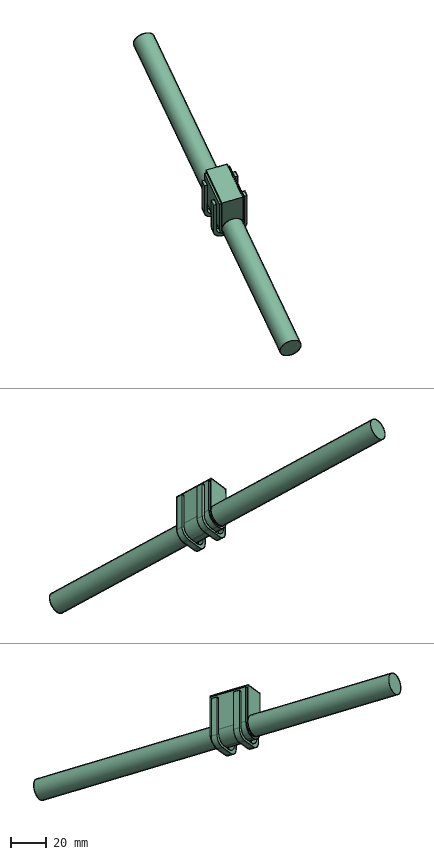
import cadquery as cq

rod_diameter = 12.8
rod_length = 240.0
rod_radius = rod_diameter / 2

block_center_x = 12.0
block_length = 25.8
block_top_z = 23.6
block_corner_radius = 6.2

band_thickness = 1.2
band_length = 24.2
band_top_z = block_top_z - 1.6

strap_outer_width = 20.4
strap_thickness = 1.8
strap_length = 3.8
strap_spacing = 15.1
strap_corner_radius = 5.8
strap_top_z = block_top_z - 4.3
overall_height = 34.2
strap_bottom_z = block_top_z - overall_height


def round_bottomed_slab(length, width, bottom_z, top_z, corner_radius, center_x):
    """Upright slab centred on Y = 0, with its two lower edges along X rounded."""
    slab = (
        cq.Workplane("XY", origin=(center_x, 0, bottom_z))
        .rect(length, width)
        .extrude(top_z - bottom_z)
    )
    return slab.edges("|X and <Z").fillet(corner_radius)


def make_rod_with_block():
    rod = cq.Workplane("YZ").circle(rod_radius).extrude(rod_length / 2, both=True)
    block = round_bottomed_slab(
        block_length, rod_diameter, -rod_radius, block_top_z, block_corner_radius, block_center_x
    )
    band = round_bottomed_slab(
        band_length,
        rod_diameter + 2 * band_thickness,
        -rod_radius - band_thickness,
        band_top_z,
        block_corner_radius + band_thickness,
        block_center_x,
    )
    return band.union(block).union(rod)


def make_strap(center_x):
    outside = round_bottomed_slab(
        strap_length, strap_outer_width, strap_bottom_z, strap_top_z, strap_corner_radius, center_x
    )
    inside = round_bottomed_slab(
        strap_length,
        strap_outer_width - 2 * strap_thickness,
        strap_bottom_z + strap_thickness,
        strap_top_z,
        strap_corner_radius,
        center_x,
    )
    return outside.cut(inside)


rod_with_block = make_rod_with_block()
straps = [make_strap(block_center_x + side * strap_spacing / 2) for side in (-1, 1)]

result = cq.Compound.makeCompound([rod_with_block.val(), *[strap.val() for strap in straps]])